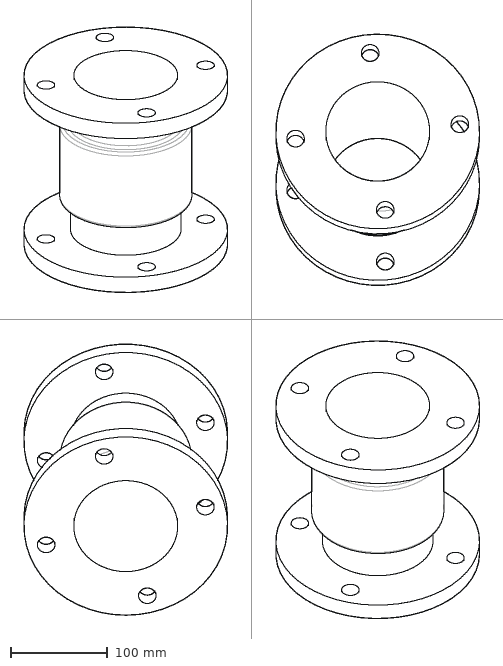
import cadquery as cq

overall_length = 198.0
bore_diameter = 107.1
pipe_diameter = 114.3

flange_diameter = 210.0
flange_thickness = 18.0
bolt_circle_diameter = 170.0
bolt_hole_diameter = 18.0
bolt_hole_count = 4
first_bolt_angle = 45.0

sleeve_diameter = 136.5
sleeve_length = 88.0
sleeve_edge_radius = 3.0
sleeve_root_radius = 3.0

half_length = overall_length / 2
half_sleeve = sleeve_length / 2


def cylinder(diameter, length, bottom_z):
    """Solid cylinder on the Z axis, standing on bottom_z."""
    return cq.Workplane("XY").workplane(offset=bottom_z).circle(diameter / 2).extrude(length)


def make_sleeved_pipe():
    """Pipe with the sleeve, rounded at the sleeve's outer edges and where it meets the pipe."""
    sleeve = cylinder(sleeve_diameter, sleeve_length, -half_sleeve)
    sleeve = sleeve.faces("|Z").edges().fillet(sleeve_edge_radius)
    body = cylinder(pipe_diameter, overall_length, -half_length).union(sleeve)
    for end_z in (-half_sleeve, half_sleeve):
        root = cq.selectors.RadiusNthSelector(0)
        end_face = cq.selectors.NearestToPointSelector((0, 0, end_z))
        body = body.faces("|Z").faces(end_face).edges(root).fillet(sleeve_root_radius)
    return body


def make_flange(bottom_z):
    """Flat flange disc with its ring of bolt holes."""
    holes = (
        cq.Workplane("XY")
        .workplane(offset=bottom_z)
        .polarArray(bolt_circle_diameter / 2, first_bolt_angle, 360, bolt_hole_count)
        .circle(bolt_hole_diameter / 2)
        .extrude(flange_thickness)
    )
    return cylinder(flange_diameter, flange_thickness, bottom_z).cut(holes)


spool = make_sleeved_pipe()
for flange_bottom in (-half_length, half_length - flange_thickness):
    spool = spool.union(make_flange(flange_bottom))

bore = cylinder(bore_diameter, overall_length, -half_length)

result = spool.cut(bore)